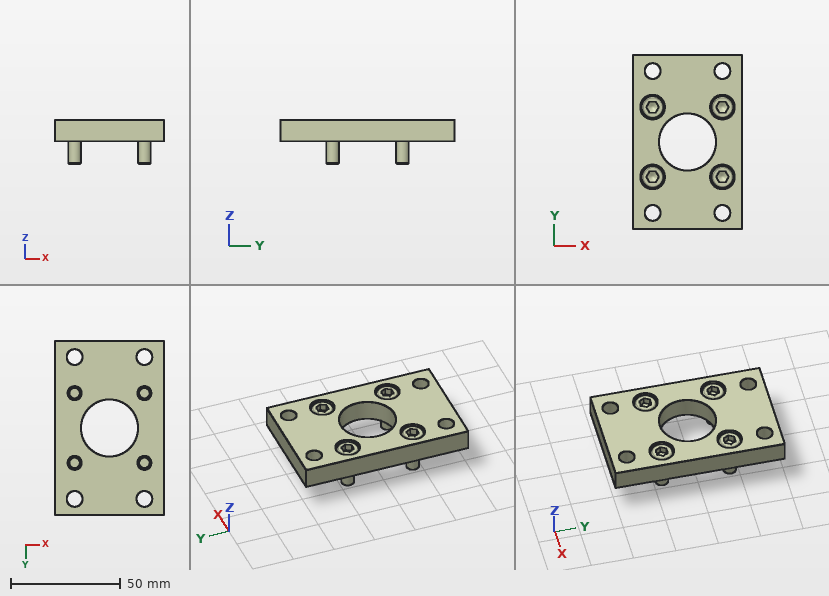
import cadquery as cq
import math

overall_height = 20.5

plate_width = 50.0
plate_length = 80.0
plate_thickness = 10.0
edge_break = 0.2

bore_diameter = 26.0
mount_hole_diameter = 7.0
mount_pitch_x = 32.0
mount_pitch_y = 65.0

screw_pitch = 32.0
counterbore_diameter = 11.0
counterbore_depth = 6.5
clearance_diameter = 6.6
head_diameter = 10.0
head_height = 6.0
head_fillet = 0.6
shank_diameter = 6.0
tip_chamfer = 0.6
socket_across_flats = head_diameter / 2
socket_depth = 3.0
socket_cone_angle = 120.0

seat_z = plate_thickness - counterbore_depth
head_top_z = seat_z + head_height
tip_z = plate_thickness - overall_height


def make_plate(screw_points):
    """Plate with every edge lightly broken, and with its holes cut."""
    plate = (
        cq.Workplane("XY")
        .box(plate_width, plate_length, plate_thickness, centered=(True, True, False))
        .edges()
        .chamfer(edge_break)
    )
    mount_points = corner_points(mount_pitch_x, mount_pitch_y)
    plate = plate.cut(through_hole(bore_diameter))
    plate = plate.cut(place_at(through_hole(mount_hole_diameter), mount_points))
    return plate.cut(place_at(make_screw_hole(), screw_points))


def corner_points(pitch_x, pitch_y):
    """The four corners of a rectangle centred on the plate."""
    return [(sx * pitch_x / 2, sy * pitch_y / 2) for sx in (-1, 1) for sy in (-1, 1)]


def turned(profile):
    """Solid of revolution about Z from a closed (radius, z) outline."""
    return cq.Workplane("XZ").polyline(profile).close().revolve(360, (0, 0), (0, 1))


def place_at(body, points):
    """Copies of a body moved to each (x, y) point, joined together."""
    copies = cq.Workplane("XY")
    for x, y in points:
        copies = copies.add(body.translate((x, y, 0)))
    return copies.combine()


def through_hole(diameter):
    """Cutter for a hole through the plate with both rims chamfered."""
    radius = diameter / 2
    rim_radius = radius + edge_break
    profile = [
        (0, 0),
        (rim_radius, 0),
        (radius, edge_break),
        (radius, plate_thickness - edge_break),
        (rim_radius, plate_thickness),
        (0, plate_thickness),
    ]
    return turned(profile)


def make_screw_hole():
    """Cutter for a clearance hole and its counterbore with a chamfered rim."""
    clearance_radius = clearance_diameter / 2
    counterbore_radius = counterbore_diameter / 2
    profile = [
        (0, 0),
        (clearance_radius, 0),
        (clearance_radius, seat_z),
        (counterbore_radius, seat_z),
        (counterbore_radius, plate_thickness - edge_break),
        (counterbore_radius + edge_break, plate_thickness),
        (0, plate_thickness),
    ]
    return turned(profile)


def make_screw():
    """Socket head screw whose head rests on the counterbore floor."""
    head = (
        cq.Workplane("XY", origin=(0, 0, seat_z))
        .circle(head_diameter / 2)
        .extrude(head_height)
        .faces(">Z")
        .edges()
        .fillet(head_fillet)
    )
    shank_radius = shank_diameter / 2
    shank_profile = [
        (0, seat_z),
        (shank_radius, seat_z),
        (shank_radius, tip_z + tip_chamfer),
        (shank_radius - tip_chamfer, tip_z),
        (0, tip_z),
    ]
    shank = turned(shank_profile)
    return head.union(shank).cut(make_socket())


def make_socket():
    """Cutter for the hexagon socket, which ends in a drill-point cone."""
    corner_radius = socket_across_flats / 2 / math.cos(math.pi / 6)
    cone_depth = corner_radius / math.tan(math.radians(socket_cone_angle / 2))
    full_depth = socket_depth + cone_depth
    hexagon = (
        cq.Workplane("XY", origin=(0, 0, head_top_z))
        .polygon(6, 2 * corner_radius)
        .extrude(-full_depth)
    )
    drill_profile = [
        (0, head_top_z - full_depth),
        (corner_radius, head_top_z - socket_depth),
        (corner_radius, head_top_z),
        (0, head_top_z),
    ]
    drill = turned(drill_profile)
    return hexagon.intersect(drill)


screw_points = corner_points(screw_pitch, screw_pitch)
result = make_plate(screw_points).union(place_at(make_screw(), screw_points)).solids()